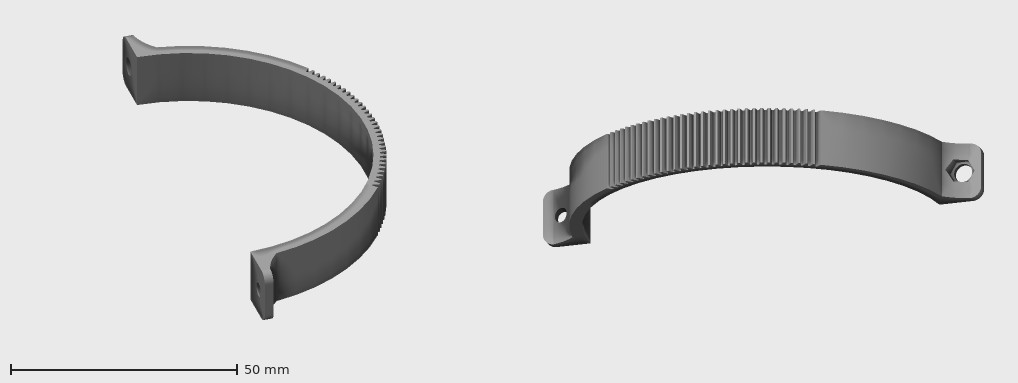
import cadquery as cq
import math

length = 102.5
width = 12.7
depth = 42.5

outer_radius = 43.7
band_thickness = 2.9
inner_radius = outer_radius - band_thickness
centre_y = depth - outer_radius

lug_thickness = 2.0
corner_radius = 2.6
corner_start_x = length / 2 - corner_radius
gusset_radius = 12.3
gusset_top_y = 5.3
hole_x = 46.7
clearance_hole_diameter = 4.2
screw_hole_diameter = 3.3
nut_across_flats = 5.1
nut_pocket_floor_y = 1.2

tooth_count = 31
tooth_pitch_angle = 2.2
tooth_height = 1.4
groove_root_width = 0.4
groove_mouth_width = 1.2


def circle_x(radius, y):
    """Positive X of the band circle with this radius at height y."""
    return math.sqrt(radius**2 - (y - centre_y) ** 2)


def extrude_across_width(sketch):
    return sketch.extrude(width / 2, both=True)


def make_body():
    """Band, gussets and lugs as one outline in the XY plane."""
    inner_x = circle_x(inner_radius, 0)
    gusset_top_x = circle_x(outer_radius, gusset_top_y)
    rise = gusset_top_y - lug_thickness
    run = corner_start_x - gusset_top_x
    chord = math.hypot(run, rise)
    sag = gusset_radius - math.sqrt(gusset_radius**2 - (chord / 2) ** 2)
    gusset_mid_x = (gusset_top_x + corner_start_x) / 2 - sag * rise / chord
    gusset_mid_y = (gusset_top_y + lug_thickness) / 2 - sag * run / chord
    outline = (
        cq.Workplane("XY")
        .moveTo(inner_x, 0)
        .lineTo(length / 2, 0)
        .lineTo(length / 2, lug_thickness)
        .lineTo(corner_start_x, lug_thickness)
        .threePointArc((gusset_mid_x, gusset_mid_y), (gusset_top_x, gusset_top_y))
        .threePointArc((0, depth), (-gusset_top_x, gusset_top_y))
        .threePointArc((-gusset_mid_x, gusset_mid_y), (-corner_start_x, lug_thickness))
        .lineTo(-length / 2, lug_thickness)
        .lineTo(-length / 2, 0)
        .lineTo(-inner_x, 0)
        .threePointArc((0, centre_y + inner_radius), (inner_x, 0))
        .close()
    )
    body = extrude_across_width(outline)
    return body.edges("|Y").edges("<X or >X").fillet(corner_radius)


def make_tooth_grooves():
    """Tapered grooves either side of every tooth, centred on the crown."""
    groove_count = tooth_count + 1
    root_radius = outer_radius - tooth_height
    overcut_radius = outer_radius + tooth_height
    overcut_width = 2 * groove_mouth_width - groove_root_width
    groove = extrude_across_width(
        cq.Workplane("XY").polyline(
            [
                (-groove_root_width / 2, root_radius),
                (groove_root_width / 2, root_radius),
                (overcut_width / 2, overcut_radius),
                (-overcut_width / 2, overcut_radius),
            ]
        ).close()
    )
    grooves = cq.Workplane("XY")
    for index in range(groove_count):
        angle = (index - (groove_count - 1) / 2) * tooth_pitch_angle
        turned = groove.rotate((0, 0, 0), (0, 0, 1), angle)
        grooves = grooves.add(turned.translate((0, centre_y, 0)))
    return grooves.combine()


def lug_sketch(x, start_y):
    """Sketch plane parallel to the lugs, centred on a hole; negative extrusion runs towards +Y."""
    return cq.Workplane("XZ", origin=(x, start_y, 0))


def make_hole(x, diameter):
    """Round hole through a lug and the gusset behind it."""
    return lug_sketch(x, 0).circle(diameter / 2).extrude(-gusset_top_y)


def make_nut_pocket():
    """Hexagon sunk through the left gusset, partway into the lug."""
    across_corners = nut_across_flats / math.cos(math.pi / 6)
    hexagon = lug_sketch(-hole_x, nut_pocket_floor_y).polygon(6, across_corners)
    return hexagon.extrude(-gusset_top_y)


result = make_body().cut(make_tooth_grooves())
result = result.cut(make_hole(-hole_x, clearance_hole_diameter))
result = result.cut(make_hole(hole_x, screw_hole_diameter))
result = result.cut(make_nut_pocket())